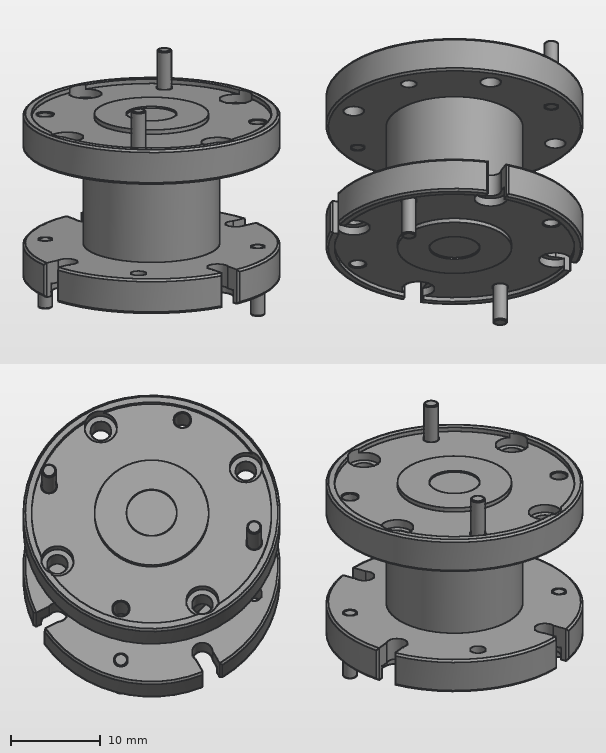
import cadquery as cq
import math

flange_diameter = 28.575
flange_thickness = 4.0
spool_length = 19.0
neck_diameter = 15.24
edge_chamfer = 0.25

rim_inner_diameter = 26.7
face_recess_depth = 0.5
boss_diameter = 12.7
window_diameter = 5.6
window_depth = 0.2

bolt_circle_diameter = 23.8125
screw_hole_diameter = 2.3
counterbore_diameter = 3.6
counterbore_depth = 1.45
slot_width = 2.12
socket_diameter = 1.75
mouth_chamfer = 0.11

pin_diameter = 1.5875
pin_protrusion = 3.9
pin_end_chamfer = 0.13

flange_radius = flange_diameter / 2
bolt_radius = bolt_circle_diameter / 2
outer_face_z = spool_length / 2
inner_face_z = outer_face_z - flange_thickness
recess_floor_z = outer_face_z - face_recess_depth

AXIS_ANGLES = (0, 90, 180, 270)
PIN_ANGLES = (135, 315)
SOCKET_ANGLES = (45, 225)


def bolt_points(angles):
    return [
        (bolt_radius * math.cos(math.radians(a)), bolt_radius * math.sin(math.radians(a)))
        for a in angles
    ]


def disc(diameter, bottom_z, top_z, points=((0, 0),)):
    """Upright cylinders of one diameter between two heights."""
    return (
        cq.Workplane("XY", origin=(0, 0, bottom_z))
        .pushPoints(points)
        .circle(diameter / 2)
        .extrude(top_z - bottom_z)
    )


def chamfered_hole(diameter, angles):
    """Cutter for through holes with a chamfered mouth at the recessed face."""
    radius = diameter / 2
    mouth_radius = radius + mouth_chamfer
    cutter = (
        cq.Workplane("XZ")
        .moveTo(0, inner_face_z)
        .lineTo(radius, inner_face_z)
        .lineTo(radius, recess_floor_z - mouth_chamfer)
        .lineTo(mouth_radius, recess_floor_z)
        .lineTo(0, recess_floor_z)
        .close()
        .revolve(360, (0, 0, 0), (0, 1, 0))
    )
    holes = cq.Workplane("XY")
    for x, y in bolt_points(angles):
        holes = holes.add(cutter.translate((x, y, 0)))
    return holes.combine()


def make_flange():
    """Upper flange with its face details and holes."""
    flange = disc(flange_diameter, inner_face_z, outer_face_z).edges().chamfer(edge_chamfer)

    face_recess = disc(rim_inner_diameter, recess_floor_z, outer_face_z)
    face_recess = face_recess.cut(disc(boss_diameter, recess_floor_z, outer_face_z))
    window = disc(window_diameter, outer_face_z - window_depth, outer_face_z)
    flange = flange.cut(face_recess).cut(window)

    screw_points = bolt_points(AXIS_ANGLES)
    screw_holes = disc(screw_hole_diameter, inner_face_z, outer_face_z, screw_points)
    counterbores = disc(
        counterbore_diameter, outer_face_z - counterbore_depth, outer_face_z, screw_points
    )
    flange = flange.cut(screw_holes).cut(counterbores)

    flange = flange.cut(chamfered_hole(pin_diameter, PIN_ANGLES))
    return flange.cut(chamfered_hole(socket_diameter, SOCKET_ANGLES))


def cut_slots(flange):
    """Open each screw hole to the flange edge with a slot whose mouth is chamfered."""
    half_width = slot_width / 2
    mouth_x = math.sqrt(flange_radius**2 - half_width**2)
    chamfer_start_x = mouth_x - edge_chamfer
    past_edge = 2 * edge_chamfer
    slot = (
        cq.Workplane("XY", origin=(0, 0, inner_face_z))
        .moveTo(bolt_radius, -half_width)
        .lineTo(chamfer_start_x, -half_width)
        .lineTo(chamfer_start_x + past_edge, -half_width - past_edge)
        .lineTo(chamfer_start_x + past_edge, half_width + past_edge)
        .lineTo(chamfer_start_x, half_width)
        .lineTo(bolt_radius, half_width)
        .close()
        .extrude(flange_thickness)
    )
    for angle in AXIS_ANGLES:
        flange = flange.cut(slot.rotate((0, 0, 0), (0, 0, 1), angle))
    return flange


def turn_over(part):
    """Half turn about X, taking the upper end of the spool to the lower end."""
    return part.rotate((0, 0, 0), (1, 0, 0), 180)


def make_spool():
    upper_flange = make_flange()
    lower_flange = turn_over(cut_slots(upper_flange))
    neck = disc(neck_diameter, -inner_face_z, inner_face_z)
    return neck.union(upper_flange).union(lower_flange)


def make_pin(x, y):
    pin = disc(pin_diameter, inner_face_z, outer_face_z + pin_protrusion, [(x, y)])
    return pin.faces("<Z or >Z").edges().chamfer(pin_end_chamfer)


spool = make_spool()

guide_pins = []
for pin_x, pin_y in bolt_points(PIN_ANGLES):
    upper_pin = make_pin(pin_x, pin_y)
    guide_pins.append(upper_pin.val())
    guide_pins.append(turn_over(upper_pin).val())

result = cq.Compound.makeCompound([spool.val(), *guide_pins])